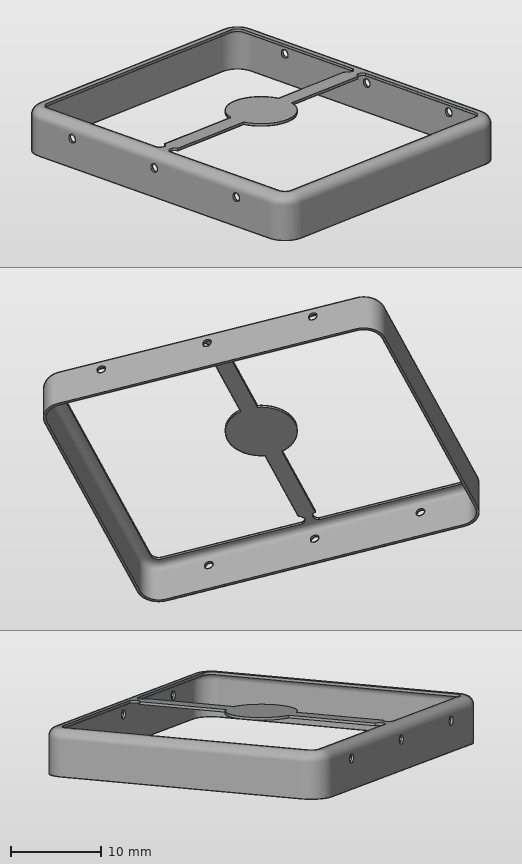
import cadquery as cq

LENGTH = 40.2
WIDTH = 34.6
HEIGHT = 5.3
CORNER_RADIUS = 2.5
TOP_ROUND = 1.1
SHELL_THICKNESS = 0.3

OPENING_INSET = 1.5

BRIDGE_WIDTH = 2.0
DISC_DIAMETER = 8.0
NECK_WIDTH = 1.0
NOTCH_RADIUS = 0.65
BRIDGE_OVERLAP = 0.2

HOLE_DIAMETER = 1.0
HOLE_PITCH = 12.5
HOLE_COUNT = 3
HOLE_DROP = 1.8


def rounded_block(inset, top):
    """Block from the base up to top, inset evenly from the outline with concentric corners."""
    return (
        cq.Workplane("XY")
        .rect(LENGTH - 2 * inset, WIDTH - 2 * inset)
        .extrude(top)
        .edges("|Z")
        .fillet(CORNER_RADIUS - inset)
    )


def domed_block(inset):
    """Block whose walls, top and top round are all offset inward by inset."""
    return rounded_block(inset, HEIGHT - inset).faces(">Z").edges().fillet(TOP_ROUND - inset)


def frame():
    """Hollow rounded cap with a large opening that leaves a narrow rim at the top."""
    opening = rounded_block(OPENING_INSET, HEIGHT)
    return domed_block(0).cut(domed_block(SHELL_THICKNESS)).cut(opening)


def bridge():
    """Thin bar with a central disc, necked down where it meets the rim."""
    plane = cq.Workplane("XY").workplane(offset=HEIGHT - SHELL_THICKNESS)
    opening_edge = WIDTH / 2 - OPENING_INSET
    bar = plane.rect(BRIDGE_WIDTH, 2 * (opening_edge + BRIDGE_OVERLAP)).extrude(SHELL_THICKNESS)
    disc = plane.circle(DISC_DIAMETER / 2).extrude(SHELL_THICKNESS)
    notch_x = NECK_WIDTH / 2 + NOTCH_RADIUS
    notch_y = opening_edge - NOTCH_RADIUS
    notches = (
        plane.rect(2 * notch_x, 2 * notch_y, forConstruction=True)
        .vertices()
        .circle(NOTCH_RADIUS)
        .extrude(SHELL_THICKNESS)
    )
    return bar.union(disc).cut(notches)


def cross_holes():
    """Row of pins along Y that pierce both long walls."""
    return (
        cq.Workplane("XZ", origin=(0, 0, HEIGHT - HOLE_DROP))
        .rarray(HOLE_PITCH, 1, HOLE_COUNT, 1)
        .circle(HOLE_DIAMETER / 2)
        .extrude(WIDTH / 2, both=True)
    )


result = frame().union(bridge()).cut(cross_holes())